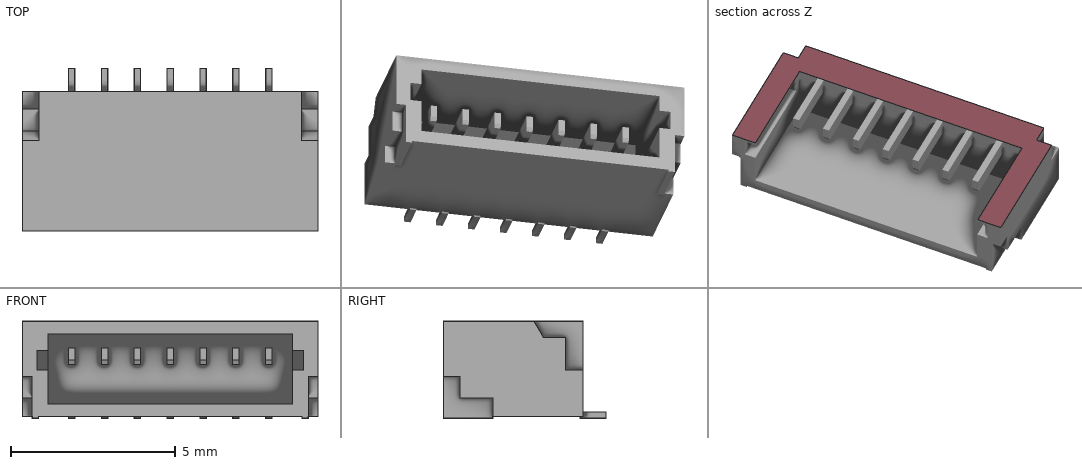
import cadquery as cq


length = 9.0
depth = 4.25
total_depth = 4.95
total_height = 2.96
standoff = 0.05
housing_top = total_height
housing_height = total_height - standoff

cavity_width = 7.43
cavity_height = 2.12
cavity_depth = 3.2
top_wall = 0.4
cavity_top = housing_top - top_wall
cavity_floor = cavity_top - cavity_height

groove_reach = 0.34
groove_top = housing_top - 0.9
groove_height = 0.59
groove_depth = 3.0

contact_count = 7
pitch = 1.0
contact_width = 0.2
pin_height = 0.495
pin_length = 1.8
pin_top = housing_top - 0.82
pin_bevel_height = 0.13
pin_bevel_length = 0.06
lead_height = 0.2
lead_overlap = 0.09

rear_cut_width = 0.5
rear_step_depth = 0.54
rear_floor_drop = 1.49
rear_shelf_drop = 0.5
rear_shelf_end = 1.2
rear_slope_end = 1.49

recess_width = 0.3
recess_low_depth = 1.5
recess_high_depth = 0.5
recess_low_top = 0.62
recess_high_top = 1.28
tab_thickness = 0.2


def box(x_center, x_size, y_start, y_size, z_start, z_size):
    """Box centred in X, with its front and bottom faces at the given Y and Z."""
    return (
        cq.Workplane("XY")
        .box(x_size, y_size, z_size, centered=(True, False, False))
        .translate((x_center, y_start, z_start))
    )


def side_prism(points, x_start, x_size):
    """Closed (Y, Z) outline extruded along +X."""
    return cq.Workplane("YZ", origin=(x_start, 0, 0)).polyline(points).close().extrude(x_size)


def both_ends(solid):
    """The solid together with its mirror image at the other end of the housing."""
    return solid.union(solid.mirror("YZ"))


def rear_cuts():
    step_y = depth - rear_step_depth
    floor_z = housing_top - rear_floor_drop
    shelf_z = housing_top - rear_shelf_drop
    outline = [
        (depth, floor_z),
        (step_y, floor_z),
        (step_y, shelf_z),
        (depth - rear_shelf_end, shelf_z),
        (depth - rear_slope_end, housing_top),
        (depth, housing_top),
    ]
    return both_ends(side_prism(outline, -length / 2, rear_cut_width))


def front_recess_outline():
    return [
        (0, 0),
        (recess_low_depth, 0),
        (recess_low_depth, recess_low_top),
        (recess_high_depth, recess_low_top),
        (recess_high_depth, recess_high_top),
        (0, recess_high_top),
    ]


def front_recesses():
    return both_ends(side_prism(front_recess_outline(), -length / 2, recess_width + tab_thickness))


def solder_tabs():
    tab_start = -length / 2 + recess_width
    return both_ends(side_prism(front_recess_outline(), tab_start, tab_thickness))


def mating_cavity():
    main = box(0, cavity_width, 0, cavity_depth, cavity_floor, cavity_height)
    grooves = box(
        0, cavity_width + 2 * groove_reach, 0, groove_depth, groove_top - groove_height, groove_height
    )
    return main.union(grooves)


def contact_pin(x):
    """Pin standing forward from the cavity back wall, with its lower tip edge bevelled."""
    pin = box(x, contact_width, cavity_depth - pin_length, pin_length, pin_top - pin_height, pin_height)
    return pin.faces("<Y").edges("<Z").chamfer(pin_bevel_height, pin_bevel_length)


def contact_lead(x):
    """Flat lead on the board plane, reaching out behind the housing."""
    lead_start = depth - lead_overlap
    return box(x, contact_width, lead_start, total_depth - lead_start, 0, lead_height)


result = box(0, length, 0, depth, standoff, housing_height)
result = result.cut(mating_cavity()).cut(rear_cuts()).cut(front_recesses())

for index in range(contact_count):
    contact_x = (index - (contact_count - 1) / 2) * pitch
    result = result.union(contact_pin(contact_x)).union(contact_lead(contact_x))

result = result.union(solder_tabs(), clean=False)